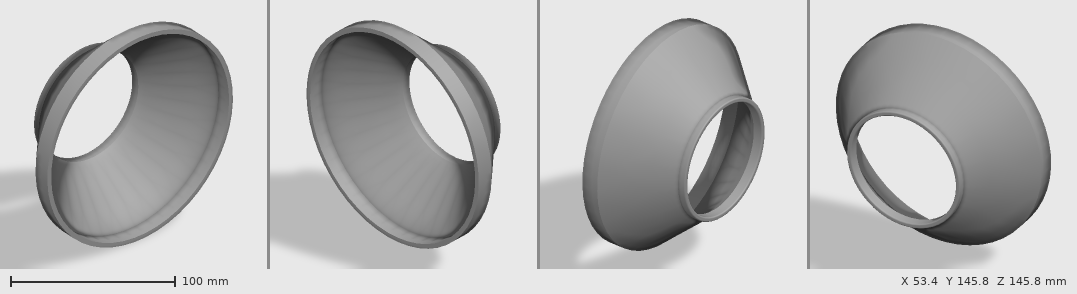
import cadquery as cq
import math

outer_radius = 72.9
collar_radius = 40.1
wall = 3.0
total_length = 53.4
collar_length = 5.2
rim_length = 11.4
lip_fillet = 0.9

cone_end = total_length - rim_length
cone_angle = math.atan2(outer_radius - collar_radius, cone_end - collar_length)
bend_shift = wall * math.tan(cone_angle / 2)
collar_bore_radius = collar_radius - wall
rim_bore_radius = outer_radius - wall

section = [
    (0, collar_bore_radius),
    (0, collar_radius),
    (collar_length, collar_radius),
    (cone_end, outer_radius),
    (total_length, outer_radius),
    (total_length, rim_bore_radius),
    (cone_end + bend_shift, rim_bore_radius),
    (collar_length + bend_shift, collar_bore_radius),
]

shell = cq.Workplane("XZ").polyline(section).close().revolve(360, (0, 0, 0), (1, 0, 0))

result = shell.faces("<X").edges().fillet(lip_fillet)